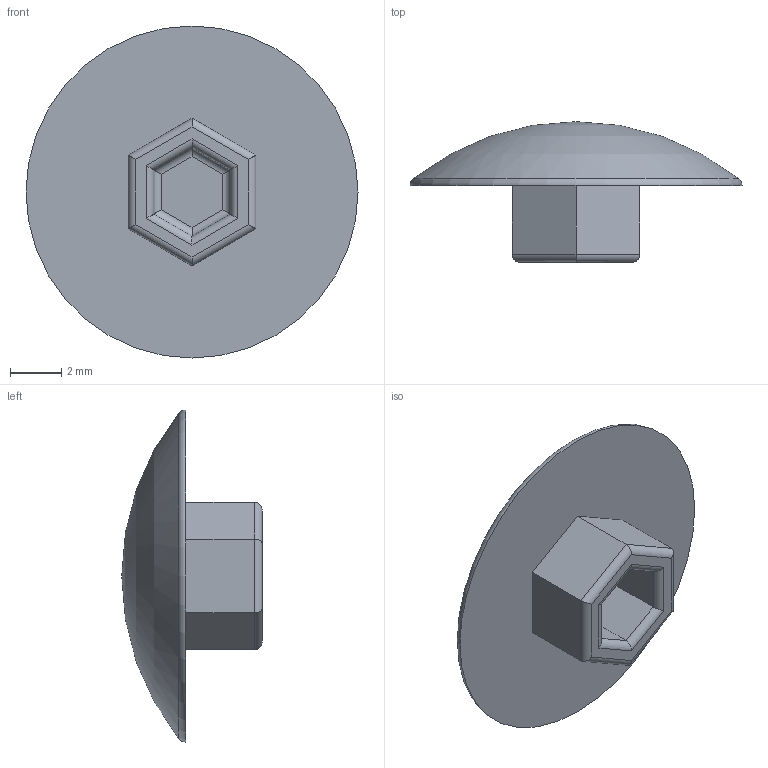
import cadquery as cq
import math

cap_diameter = 13.0
cap_radius = cap_diameter / 2
dome_height = 2.5
rim_radius = 0.35

post_across_flats = 5.0
post_length = 3.0
post_end_fillet = 0.3

socket_across_flats = 3.0
socket_depth = post_length
socket_fillet = 0.3


def make_dome():
    """Spherical cap whose rim is an arc, tangent to the sphere and square to the underside."""
    rim_center = cap_radius - rim_radius
    sphere_radius = (rim_center**2 + dome_height**2 - rim_radius**2) / (2 * (dome_height - rim_radius))
    sphere_center_y = dome_height - sphere_radius
    tangent_angle = math.atan2(rim_center, -sphere_center_y)
    rim_middle_angle = (math.pi / 2 + tangent_angle) / 2

    def on_sphere(angle):
        return sphere_radius * math.sin(angle), sphere_center_y + sphere_radius * math.cos(angle)

    def on_rim(angle):
        return rim_center + rim_radius * math.sin(angle), rim_radius * math.cos(angle)

    return (
        cq.Workplane("ZY")
        .lineTo(cap_radius, 0)
        .threePointArc(on_rim(rim_middle_angle), on_sphere(tangent_angle))
        .threePointArc(on_sphere(tangent_angle / 2), (0, dome_height))
        .close()
        .revolve(360, (0, 0, 0), (0, 1, 0))
    )


def make_hex_prism(across_flats, length):
    """Hexagonal prism from Y = 0 to Y = -length, with corners on the +Z and -Z sides."""
    corner_diameter = across_flats / math.cos(math.pi / 6)
    return (
        cq.Workplane("XZ")
        .transformed(rotate=(0, 0, 90))
        .polygon(6, corner_diameter)
        .extrude(length)
    )


def make_post():
    """Post with its outer end edges rounded."""
    post = make_hex_prism(post_across_flats, post_length)
    return post.faces("<Y").edges().fillet(post_end_fillet)


def cut_socket(body):
    """Cut the socket with a rounded floor edge, then round its mouth."""
    socket_floor_y = socket_depth - post_length
    socket = make_hex_prism(socket_across_flats, socket_depth).translate((0, socket_floor_y, 0))
    socket = socket.faces(">Y").edges().fillet(socket_fillet)
    body = body.cut(socket)
    mouth = body.faces("<Y").val().innerWires()[0]
    return body.newObject(mouth.Edges()).fillet(socket_fillet)


result = cut_socket(make_dome().union(make_post()))